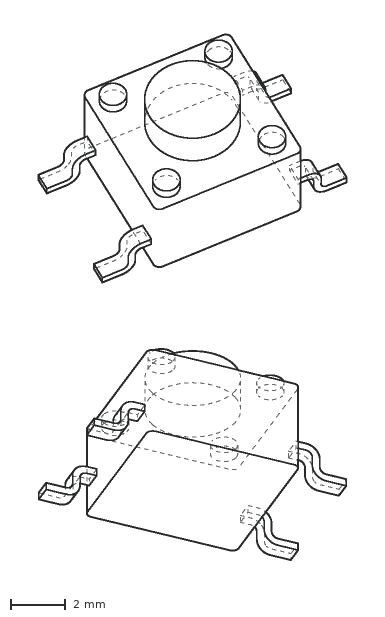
import cadquery as cq

body_side = 6.0
body_height = 3.6
body_corner_radius = 0.25
standoff = 0.08
body_top = standoff + body_height

button_diameter = 3.5
button_height = 1.4
peg_diameter = 1.0
peg_height = 0.4
peg_offset = 2.16

lead_span = 10.0
lead_width = 0.7
lead_thickness = 0.3
lead_height = 1.45
lead_offset = 2.25
shank_outer_y = 3.95
outer_bend_radius = 0.55
inner_bend_radius = outer_bend_radius - lead_thickness


def make_body():
    block = cq.Workplane("XY").workplane(offset=standoff).rect(body_side, body_side).extrude(body_height)
    return block.edges("|Z").fillet(body_corner_radius)


def make_button():
    return cq.Workplane("XY").workplane(offset=body_top).circle(button_diameter / 2).extrude(button_height)


def make_pegs():
    return (
        cq.Workplane("XY")
        .workplane(offset=body_top)
        .rect(2 * peg_offset, 2 * peg_offset, forConstruction=True)
        .vertices()
        .circle(peg_diameter / 2)
        .extrude(peg_height)
    )


def make_lead():
    """One lead on the +Y side, centred on X = 0, with its sole at Z = 0."""
    root_y = body_side / 2
    tip_y = lead_span / 2
    shank_inner_y = shank_outer_y - lead_thickness
    profile = (
        cq.Workplane("YZ")
        .moveTo(root_y, lead_height)
        .lineTo(shank_outer_y - outer_bend_radius, lead_height)
        .radiusArc((shank_outer_y, lead_height - outer_bend_radius), outer_bend_radius)
        .lineTo(shank_outer_y, lead_thickness + inner_bend_radius)
        .radiusArc((shank_outer_y + inner_bend_radius, lead_thickness), -inner_bend_radius)
        .lineTo(tip_y, lead_thickness)
        .lineTo(tip_y, 0)
        .lineTo(shank_inner_y + outer_bend_radius, 0)
        .radiusArc((shank_inner_y, outer_bend_radius), outer_bend_radius)
        .lineTo(shank_inner_y, lead_height - outer_bend_radius)
        .radiusArc((shank_inner_y - inner_bend_radius, lead_height - lead_thickness), -inner_bend_radius)
        .lineTo(root_y, lead_height - lead_thickness)
        .close()
    )
    return profile.extrude(lead_width / 2, both=True)


result = make_body().union(make_button()).union(make_pegs())

for x in (-lead_offset, lead_offset):
    lead = make_lead().translate((x, 0, 0))
    result = result.union(lead).union(lead.mirror("XZ"))